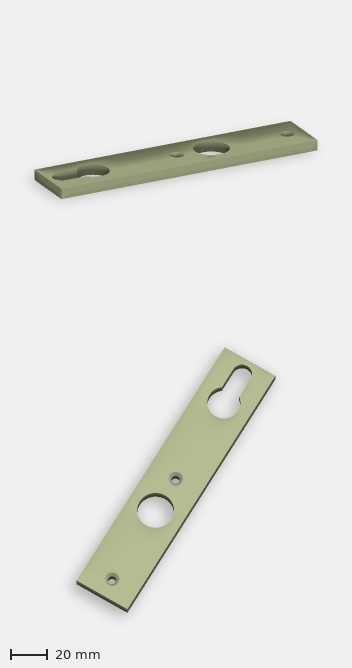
import cadquery as cq
import math

plate_width = 32.0
plate_length = 156
plate_thickness = 6.0
top_end = plate_length / 2

end_screw_distance = 10.5
handle_hole_distance = 56.5
middle_screw_distance = 77.5
keyhole_distance = 128.4

handle_hole_diameter = 20.0

screw_diameter = 4.5
screw_head_diameter = 8.0
countersink_angle = 90

keyhole_head_diameter = 18.0
keyhole_slot_width = 10.9
keyhole_height = 33.5


def cut_handle_hole(plate):
    center_y = top_end - handle_hole_distance
    return plate.faces(">Z").workplane(origin=(0, 0, 0)).center(0, center_y).hole(handle_hole_diameter)


def cut_screw_holes(plate):
    centers = [(0, top_end - distance) for distance in (end_screw_distance, middle_screw_distance)]
    return (
        plate.faces(">Z")
        .workplane(origin=(0, 0, 0))
        .pushPoints(centers)
        .cskHole(screw_diameter, screw_head_diameter, countersink_angle)
    )


def cut_keyhole(plate):
    head_radius = keyhole_head_diameter / 2
    slot_radius = keyhole_slot_width / 2
    head_y = top_end - keyhole_distance
    head_top_y = head_y + head_radius
    slot_end_y = head_top_y - keyhole_height
    slot_arc_y = slot_end_y + slot_radius
    junction_y = head_y - math.sqrt(head_radius**2 - slot_radius**2)
    keyhole = (
        cq.Workplane()
        .moveTo(slot_radius, junction_y)
        .threePointArc((0, head_top_y), (-slot_radius, junction_y))
        .lineTo(-slot_radius, slot_arc_y)
        .threePointArc((0, slot_end_y), (slot_radius, slot_arc_y))
        .close()
        .extrude(plate_thickness)
    )
    return plate.cut(keyhole)


plate = cq.Workplane().box(plate_width, plate_length, plate_thickness, centered=(True, True, False))
plate = cut_handle_hole(plate)
plate = cut_screw_holes(plate)
result = cut_keyhole(plate)